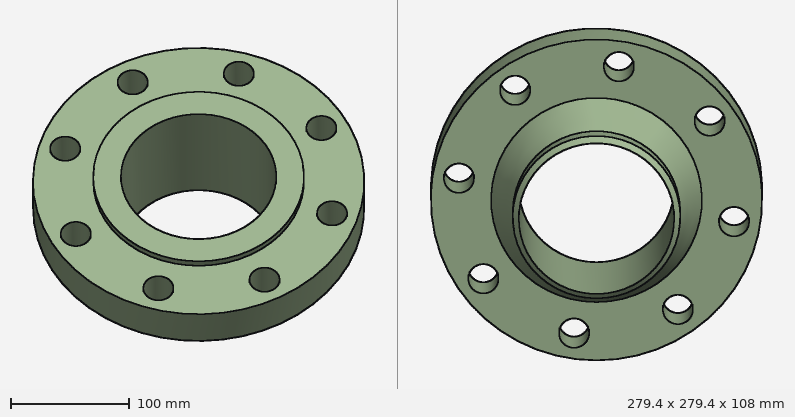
import cadquery as cq


total_height = 107.95
raised_face_height = 6.35
flange_thickness = 38.1
weld_end_height = 21.6

flange_diameter = 279.4
raised_face_diameter = 177.8
hub_base_diameter = 177.8
pipe_diameter = 141.3
bore_diameter = 131.0

bolt_hole_count = 8
bolt_circle_diameter = 234.95
bolt_hole_diameter = 25.4
first_hole_angle = 180 / bolt_hole_count

flange_top = total_height - raised_face_height
flange_bottom = flange_top - flange_thickness
bevel_height = (pipe_diameter - bore_diameter) / 2


def make_body():
    """Revolve the wall section, including the bore, about Z."""
    section = (
        cq.Workplane("XZ")
        .moveTo(bore_diameter / 2, 0)
        .lineTo(pipe_diameter / 2, bevel_height)
        .lineTo(pipe_diameter / 2, weld_end_height)
        .lineTo(hub_base_diameter / 2, flange_bottom)
        .lineTo(flange_diameter / 2, flange_bottom)
        .lineTo(flange_diameter / 2, flange_top)
        .lineTo(raised_face_diameter / 2, flange_top)
        .lineTo(raised_face_diameter / 2, total_height)
        .lineTo(bore_diameter / 2, total_height)
        .close()
    )
    return section.revolve(360, (0, 0, 0), (0, 1, 0))


def make_bolt_holes():
    """Cylinders through the full flange thickness, evenly spaced on the bolt circle."""
    return (
        cq.Workplane("XY")
        .workplane(offset=flange_bottom)
        .polarArray(bolt_circle_diameter / 2, first_hole_angle, 360, bolt_hole_count)
        .circle(bolt_hole_diameter / 2)
        .extrude(flange_thickness)
    )


result = make_body().cut(make_bolt_holes())